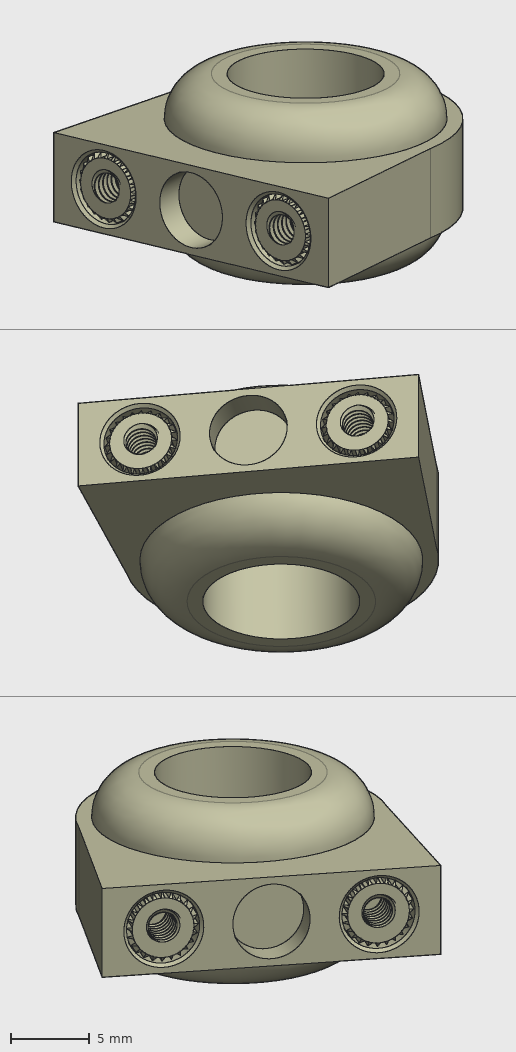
import cadquery as cq
import math

plate_width = 22.0
plate_depth = 22.0
plate_height = 5.98
back_radius = 10.0
front_y = back_radius - plate_depth

ring_radius = 9.0
ring_bore_radius = 5.0
ring_height = 12.0
shoulder_radius = (ring_height - plate_height) / 2

pocket_radius = 2.5
pocket_depth = 2.0

insert_offset = 7.0
insert_hole_radius = 2.38
insert_hole_depth = 4.0
hole_chamfer = 0.22

insert_recess = 0.2
insert_length = insert_hole_depth - insert_recess
core_radius = 2.0
tooth_count = 24
tooth_base_width = core_radius * math.pi / tooth_count
tooth_height = insert_hole_radius - core_radius

thread_minor_radius = 0.97
thread_major_radius = 1.25
thread_pitch = 0.45
thread_groove_width = 0.95 * thread_pitch
thread_overlap = 0.05


def upright_cylinder(radius, height):
    """Cylinder on the ring axis, centred on the mid-plane of the plate."""
    return cq.Workplane("XY", origin=(0, 0, -height / 2)).circle(radius).extrude(height)


def front_cylinder(x, y, radius, depth):
    """Cylinder along +Y that starts at (x, y) on the mid-plane of the plate."""
    return cq.Workplane(cq.Solid.makeCylinder(radius, depth, cq.Vector(x, y, 0), cq.Vector(0, 1, 0)))


def insert_hole(x):
    """Blind insert hole with a chamfered mouth."""
    mouth = cq.Solid.makeCone(
        insert_hole_radius + hole_chamfer,
        insert_hole_radius,
        hole_chamfer,
        cq.Vector(x, front_y, 0),
        cq.Vector(0, 1, 0),
    )
    return front_cylinder(x, front_y, insert_hole_radius, insert_hole_depth).union(cq.Workplane(mouth))


def make_housing():
    plate = (
        cq.Workplane("XY", origin=(0, 0, -plate_height / 2))
        .moveTo(-plate_width / 2, front_y)
        .lineTo(plate_width / 2, front_y)
        .lineTo(back_radius, 0)
        .threePointArc((0, back_radius), (-back_radius, 0))
        .close()
        .extrude(plate_height)
    )
    ring_seat = upright_cylinder(ring_radius, plate_height)
    housing = plate.cut(ring_seat).cut(front_cylinder(0, front_y, pocket_radius, pocket_depth))
    for side in (-1, 1):
        housing = housing.cut(insert_hole(side * insert_offset))
    return housing


def make_ring():
    sleeve = upright_cylinder(ring_radius, ring_height).faces("<Z or >Z").edges().fillet(shoulder_radius)
    return sleeve.cut(upright_cylinder(ring_bore_radius, ring_height))


def make_knurl():
    """Core and pointed teeth along +Z from z = 0, with the tooth ends bevelled at z = 0."""
    root_radius = core_radius - tooth_height
    root_half_width = tooth_base_width
    tooth = (
        cq.Workplane("XY")
        .polyline([(root_radius, -root_half_width), (insert_hole_radius, 0), (root_radius, root_half_width)])
        .close()
        .extrude(insert_length)
    )
    knurl = cq.Workplane("XY").circle(core_radius).extrude(insert_length)
    for index in range(tooth_count):
        knurl = knurl.union(tooth.rotate((0, 0, 0), (0, 0, 1), index * 360 / tooth_count))
    bevelled_blank = (
        cq.Workplane("XY").circle(insert_hole_radius).extrude(insert_length).faces("<Z").chamfer(tooth_height)
    )
    return knurl.intersect(bevelled_blank)


def make_threaded_bore():
    """Bore with a helical V groove along +Z; both run past the two ends of the insert."""
    cutter_length = insert_length + 2 * thread_pitch
    path_radius = thread_minor_radius - thread_overlap
    half_groove = thread_groove_width / 2
    helix = cq.Wire.makeHelix(thread_pitch, cutter_length, path_radius)
    groove = (
        cq.Workplane("XZ")
        .polyline([(path_radius, -half_groove), (thread_major_radius, 0), (path_radius, half_groove)])
        .close()
        .sweep(cq.Workplane(helix), isFrenet=True)
    )
    bore_length = cutter_length + 2 * thread_pitch
    bore = cq.Workplane("XY", origin=(0, 0, -thread_pitch)).circle(thread_minor_radius).extrude(bore_length)
    return bore.union(groove).translate((0, 0, -thread_pitch)).rotate((0, 0, 0), (0, 0, 1), -90)


def make_insert():
    """Insert on the mid-plane of the part, to be moved sideways to its hole."""
    insert = make_knurl().cut(make_threaded_bore())
    return insert.rotate((0, 0, 0), (1, 0, 0), -90).translate((0, front_y + insert_recess, 0))


housing = make_housing()
ring = make_ring()
centred_insert = make_insert()
inserts = [centred_insert.translate((side * insert_offset, 0, 0)) for side in (-1, 1)]

result = cq.Compound.makeCompound([housing.val(), ring.val(), *[insert.val() for insert in inserts]])